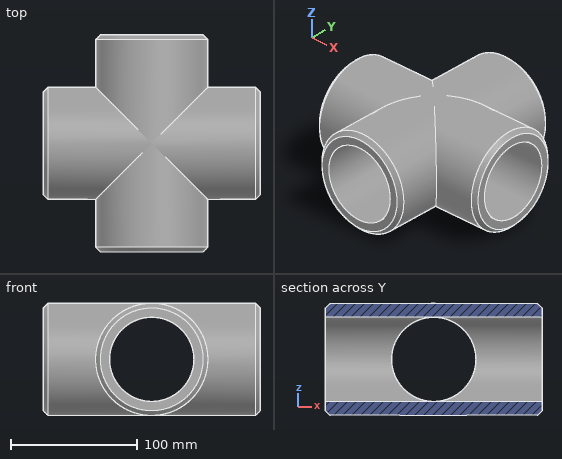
import cadquery as cq

length = 172.0
outer_diameter = 89.0
bore_diameter = 66.5
end_chamfer = 3.8


def centred_cylinder(plane, diameter):
    """Cylinder of full length, centred on the origin along the plane normal."""
    return cq.Workplane(plane).circle(diameter / 2).extrude(length / 2, both=True)


def chamfered_pipe(plane, axis):
    """Solid pipe body with both outer end edges bevelled."""
    body = centred_cylinder(plane, outer_diameter)
    return body.faces(f"|{axis}").edges().chamfer(end_chamfer)


cross = chamfered_pipe("YZ", "X").union(chamfered_pipe("XZ", "Y"))

for bore_plane in ("YZ", "XZ"):
    cross = cross.cut(centred_cylinder(bore_plane, bore_diameter))

result = cross